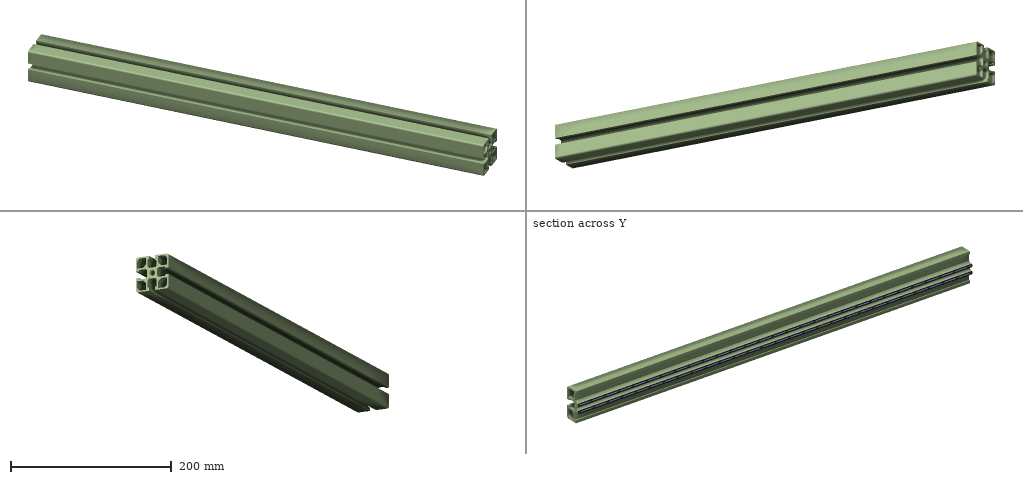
import cadquery as cq

length = 609.5
side = 45.0
half_side = side / 2
corner_radius = 2.5

slot_opening = 8.5
slot_width = 12.0
slot_chamfer = 2.0
lip_thickness = 4.0
core_width = 14.0

outer_wall = 2.0
slot_wall = 2.15
hollow_start = slot_width / 2 + slot_wall
hollow_size = half_side - outer_wall - hollow_start
hollow_outer_radius = 5.0
hollow_inner_chamfer = 4.0

bore_diameter = 6.0
countersink_diameter = 8.5
countersink_depth = (countersink_diameter - bore_diameter) / 2

quarter_turns = (0, 90, 180, 270)


def make_prism(center_y, center_z, width, height):
    """Full-length bar with a rectangular section centered at (center_y, center_z)."""
    return cq.Workplane("YZ").center(center_y, center_z).rect(width, height).extrude(length)


def make_slot():
    """T-slot in the +Z side: a narrow mouth over a wider channel with a chamfered floor."""
    floor = core_width / 2
    channel_top = half_side - lip_thickness
    channel = make_prism(0, (floor + channel_top) / 2, slot_width, channel_top - floor)
    channel = channel.edges("|X and <Z").chamfer(slot_chamfer)
    mouth = make_prism(0, half_side - lip_thickness / 2, slot_opening, lip_thickness)
    return channel.union(mouth)


def make_hollow():
    """Through hollow in the +Y +Z corner, rounded outside and chamfered towards the core."""
    center = hollow_start + hollow_size / 2
    hollow = make_prism(center, center, hollow_size, hollow_size)
    hollow = hollow.edges("|X and >(0, 1, 1)").fillet(hollow_outer_radius)
    return hollow.edges("|X and <(0, 1, 1)").chamfer(hollow_inner_chamfer)


def make_bore():
    """Through bore along the axis with its countersink."""
    bore = cq.Workplane("YZ").circle(bore_diameter / 2).extrude(length)
    countersink = cq.Solid.makeCone(
        countersink_diameter / 2,
        bore_diameter / 2,
        countersink_depth,
        pnt=cq.Vector(0, 0, 0),
        dir=cq.Vector(1, 0, 0),
    )
    return bore.union(cq.Workplane(countersink))


bar = make_prism(0, 0, side, side).edges("|X").fillet(corner_radius)
result = bar.cut(make_bore())

for cutter in (make_slot(), make_hollow()):
    for angle in quarter_turns:
        result = result.cut(cutter.rotate((0, 0, 0), (1, 0, 0), angle))